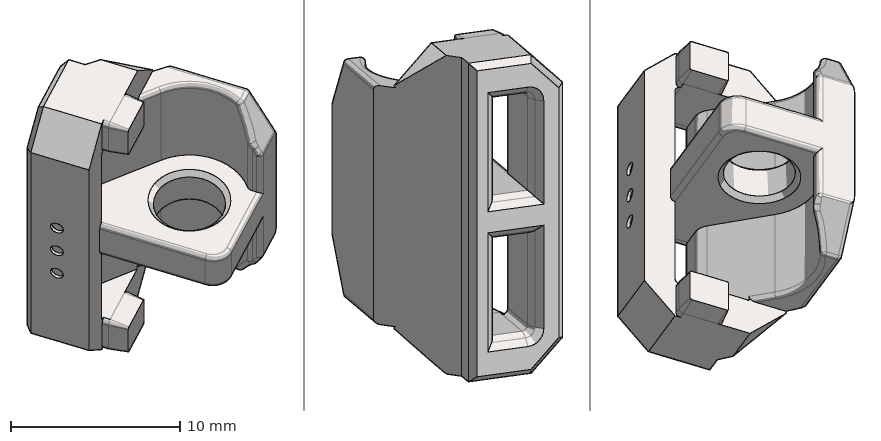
import cadquery as cq
import math

length_x = 12.0
width_y = 10.0
half_height = 10.0

lip_end_x = 4.1
block_end_x = 4.5
block_width = 6.0
diagonal_start_x = 1.45
front_bevel = 0.4
corner_chamfer = 2.0
shoulder_y = 6.7

wing_half_height = 7.5
wing_tip_y = 7.62
wing_slope_drop = 2.95
wing_slope_angle = 60.0
tip_round = 0.5
edge_round = 0.3

hole_x = 8.25
hole_y = 5.55
hole_diameter = 4.25
hole_bevel = 0.32
inner_radius = 3.58
inner_wall_angle = 50.0

plate_half_height = 1.3
plate_front_y = 1.7
plate_corner_radius = 1.2

window_y_min = 2.0
window_y_max = 4.28
window_corner_radius = 0.35
window_bevel = 0.65
window_bevel_blend = 0.8
window_wall_blend = 1.1

tab_y_min = 2.05
tab_y_max = 4.9
tab_end_x = 5.7
tab_corner_radius = 0.28
tab_taper = 8.0

dimple_diameter = 0.8
dimple_depth = 0.2
dimple_x = 2.05
dimple_pitch = 2.0

margin = 0.05

wall_angle = math.radians(inner_wall_angle)
wall_slope = math.tan(wall_angle)
tangent_x = hole_x - inner_radius * math.sin(wall_angle)
tangent_y = hole_y + inner_radius * math.cos(wall_angle)
wing_tip_inner_x = hole_x + math.sqrt(inner_radius**2 - (wing_tip_y - hole_y) ** 2)


def inner_wall_y(x):
    """Y of the straight inner wall at a given X."""
    return tangent_y - (tangent_x - x) * wall_slope


def outer_diagonal_y(x):
    """Y of the outer 45 degree wall at a given X."""
    return block_width + x - diagonal_start_x


def outer_diagonal_x(y):
    """X of the outer 45 degree wall at a given Y."""
    return diagonal_start_x + y - block_width


def prism_z(points, z_low, z_high):
    """Polygon in XY extruded between two heights."""
    return cq.Workplane("XY").workplane(offset=z_low).polyline(points).close().extrude(z_high - z_low)


def mirrored_pair(upper):
    """A solid of the upper half together with its mirror image below Z = 0."""
    return upper.union(upper.mirror("XY"))


def make_block():
    """Front block with sloped ends and a beveled front face."""
    outline = [
        (0, 0),
        (block_end_x, 0),
        (block_end_x, outer_diagonal_y(block_end_x)),
        (diagonal_start_x, block_width),
        (0, block_width),
    ]
    block = prism_z(outline, -half_height, half_height)
    end_profile = [
        (0, half_height - corner_chamfer),
        (corner_chamfer, half_height),
        (shoulder_y, half_height),
        (width_y, half_height - (width_y - shoulder_y)),
    ]
    mirrored_end = [(y, -z) for y, z in reversed(end_profile)]
    envelope = cq.Workplane("YZ").polyline(end_profile + mirrored_end).close().extrude(block_end_x)
    return block.intersect(envelope).faces("<X").chamfer(front_bevel)


def cut_lip_step(block):
    """Shorten the block along the -Y side; the tab roots refill part of the step."""
    step_depth = block_end_x - lip_end_x
    step_width = tab_y_min + tab_corner_radius
    step = cq.Workplane("XY").box(step_depth, step_width, 2 * half_height, centered=(False, False, True))
    return block.cut(step.translate((lip_end_x, 0, 0)))


def make_upper_cavity():
    """Window passage that widens rearward along the inner wall."""
    bend_x = tangent_x - (tangent_y - window_y_max) / wall_slope
    mid_z = (plate_half_height + wing_half_height) / 2
    outline = [
        (0, window_y_min),
        (block_end_x, window_y_min),
        (block_end_x, inner_wall_y(block_end_x)),
        (bend_x, window_y_max),
        (0, window_y_max),
    ]
    cavity = prism_z(outline, plate_half_height, wing_half_height)
    bend = cq.selectors.NearestToPointSelector((bend_x, window_y_max, mid_z))
    cavity = cavity.edges(bend).fillet(window_wall_blend)
    return cavity.edges("|X and >Z and <Y").fillet(window_corner_radius)


def flare_window(body, side):
    """Bevel the front mouth of one window and blend the bevel into the straight passage."""
    mid_y = (window_y_min + window_y_max) / 2
    mid_z = side * (plate_half_height + wing_half_height) / 2
    mouth = cq.selectors.NearestToPointSelector((0, mid_y, mid_z))
    body = body.faces("<X").wires(mouth).edges().chamfer(window_bevel)
    z_low, z_high = sorted((side * (plate_half_height - margin), side * (wing_half_height + margin)))
    bevel_end = cq.selectors.BoxSelector(
        (window_bevel - margin, window_y_min - margin, z_low),
        (window_bevel + margin, window_y_max + margin, z_high),
    )
    return body.edges(bevel_end).fillet(window_bevel_blend)


def make_wing():
    """Wall around the ring hole, with sloped corners at its +X end."""
    arc_mid = (hole_x, hole_y + inner_radius)
    wing = (
        cq.Workplane("XY")
        .workplane(offset=-wing_half_height)
        .moveTo(block_end_x, inner_wall_y(block_end_x))
        .lineTo(tangent_x, tangent_y)
        .threePointArc(arc_mid, (wing_tip_inner_x, wing_tip_y))
        .lineTo(length_x, wing_tip_y)
        .lineTo(length_x, width_y)
        .lineTo(outer_diagonal_x(width_y), width_y)
        .lineTo(block_end_x, outer_diagonal_y(block_end_x))
        .close()
        .extrude(2 * wing_half_height)
    )
    slope_run = wing_slope_drop / math.tan(math.radians(wing_slope_angle))
    bend_x = length_x - slope_run
    corner = (
        cq.Workplane("XZ")
        .polyline([
            (bend_x, wing_half_height),
            (length_x, wing_half_height),
            (length_x, wing_half_height - wing_slope_drop),
        ])
        .close()
        .extrude(-width_y)
    )
    wing = wing.cut(mirrored_pair(corner))
    tip_corner = cq.selectors.NearestToPointSelector((wing_tip_inner_x, wing_tip_y, 0))
    wing = wing.edges(tip_corner).fillet(tip_round)
    wing = wing.edges("|Z and >X").edges("<Y").fillet(edge_round)
    return round_wing_rims(wing, bend_x)


def round_wing_rims(wing, bend_x):
    """Round the end and slope rims of the wing, except where they meet the block."""
    rims = []
    for side in (1, -1):
        z_low, z_high = sorted((
            side * (wing_half_height - wing_slope_drop + margin),
            side * (wing_half_height + margin),
        ))
        slope_box = cq.selectors.BoxSelector(
            (bend_x + margin, 0, z_low),
            (length_x + margin, width_y + margin, z_high),
        )
        end_face = wing.faces(">Z" if side > 0 else "<Z")
        rims += end_face.edges(">Y or >X or %CIRCLE").vals()
        rims += wing.edges(slope_box).vals()
    return wing.newObject(rims).fillet(edge_round)


def make_plate():
    """Cross plate with a rounded front corner and rounded front and end rims."""
    rear_y = hole_y + inner_radius + edge_round
    outline = [
        (lip_end_x, plate_front_y),
        (length_x, plate_front_y),
        (length_x, rear_y),
        (tangent_x, rear_y),
        (lip_end_x, inner_wall_y(lip_end_x)),
    ]
    plate = prism_z(outline, -plate_half_height, plate_half_height)
    plate = plate.edges("|Z and >X and <Y").fillet(plate_corner_radius)
    return plate.faces("<Y").edges("|X").fillet(edge_round)


def make_upper_tab():
    """Rounded tab with a straight root and a tapered tip."""
    size_y = tab_y_max - tab_y_min
    size_z = half_height - wing_half_height
    mid_y = (tab_y_min + tab_y_max) / 2
    mid_z = (half_height + wing_half_height) / 2
    section = cq.Sketch().rect(size_y, size_z).vertices().fillet(tab_corner_radius)
    root = cq.Workplane("YZ", origin=(lip_end_x, mid_y, mid_z))
    root = root.placeSketch(section).extrude(block_end_x - lip_end_x)
    tip = root.faces(">X").workplane(centerOption="CenterOfBoundBox").placeSketch(section)
    return root.union(tip.extrude(tab_end_x - block_end_x, taper=tab_taper, combine=False))


def make_dimples():
    """Row of shallow round marks in the -Y side of the block."""
    return (
        cq.Workplane("XZ")
        .pushPoints([(dimple_x, i * dimple_pitch) for i in (-1, 0, 1)])
        .circle(dimple_diameter / 2)
        .extrude(-dimple_depth)
    )


def make_hole():
    """Through hole with a bevel at both ends."""
    radius = hole_diameter / 2
    mouth = radius + hole_bevel
    profile = [
        (0, -plate_half_height),
        (mouth, -plate_half_height),
        (radius, hole_bevel - plate_half_height),
        (radius, plate_half_height - hole_bevel),
        (mouth, plate_half_height),
        (0, plate_half_height),
    ]
    return (
        cq.Workplane("XZ")
        .polyline(profile)
        .close()
        .revolve(360, (0, 0, 0), (0, 1, 0))
        .translate((hole_x, hole_y, 0))
    )


block = cut_lip_step(make_block())
block = block.cut(mirrored_pair(make_upper_cavity()))
for side in (1, -1):
    block = flare_window(block, side)

result = block.union(make_wing())
result = result.union(make_plate())
result = result.union(mirrored_pair(make_upper_tab()))
result = result.cut(make_hole()).cut(make_dimples())